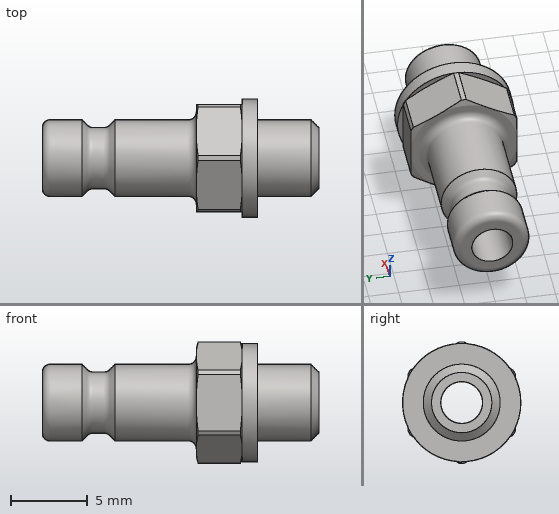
import cadquery as cq
import math

LENGTH = 18.0
BORE_DIAMETER = 2.7
SHANK_DIAMETER = 5.0
TIP_ROUND = 0.5
THREAD_CHAMFER = 0.54

GROOVE_DIAMETER = 4.0
GROOVE_START = 2.57
GROOVE_END = 4.73
GROOVE_CORNER_RADIUS = 0.5
FLANK_ANGLE = math.radians(45)

HEX_START = 10.0
HEX_LENGTH = 2.99
HEX_ACROSS_FLATS = 7.0
HEX_CORNER_DIAMETER = 7.9
HEX_CHAMFER_ANGLE = math.radians(15)
NECK_FILLET = 0.5

WASHER_DIAMETER = 7.7
WASHER_THICKNESS = 1.0

SHANK_RADIUS = SHANK_DIAMETER / 2
GROOVE_RADIUS = GROOVE_DIAMETER / 2
HEX_END = HEX_START + HEX_LENGTH


def revolve_about_x(profile):
    """Revolve a closed (x, radius) profile once around the X axis."""
    return profile.close().revolve(360, (0, 0, 0), (1, 0, 0))


def cylinder_along_x(start, length, diameter):
    return cq.Workplane("YZ", origin=(start, 0, 0)).circle(diameter / 2).extrude(length)


def make_shank():
    """Round body with rounded tip, locking groove, neck fillet and end chamfer."""
    corner_run = GROOVE_CORNER_RADIUS * math.sin(FLANK_ANGLE)
    corner_rise = GROOVE_CORNER_RADIUS * (1 - math.cos(FLANK_ANGLE))
    half_run = GROOVE_CORNER_RADIUS * math.sin(FLANK_ANGLE / 2)
    half_rise = GROOVE_CORNER_RADIUS * (1 - math.cos(FLANK_ANGLE / 2))
    flank_radius = GROOVE_RADIUS + corner_rise
    flank_run = (SHANK_RADIUS - flank_radius) / math.tan(FLANK_ANGLE)
    floor_start = GROOVE_START + flank_run + corner_run
    floor_end = GROOVE_END - flank_run - corner_run
    arc_inset = 1 - math.sqrt(0.5)

    profile = (
        cq.Workplane("XY")
        .lineTo(0, SHANK_RADIUS - TIP_ROUND)
        .threePointArc(
            (TIP_ROUND * arc_inset, SHANK_RADIUS - TIP_ROUND * arc_inset),
            (TIP_ROUND, SHANK_RADIUS),
        )
        .lineTo(GROOVE_START, SHANK_RADIUS)
        .lineTo(GROOVE_START + flank_run, flank_radius)
        .threePointArc(
            (floor_start - half_run, GROOVE_RADIUS + half_rise),
            (floor_start, GROOVE_RADIUS),
        )
        .lineTo(floor_end, GROOVE_RADIUS)
        .threePointArc(
            (floor_end + half_run, GROOVE_RADIUS + half_rise),
            (GROOVE_END - flank_run, flank_radius),
        )
        .lineTo(GROOVE_END, SHANK_RADIUS)
        .lineTo(HEX_START - NECK_FILLET, SHANK_RADIUS)
        .threePointArc(
            (HEX_START - NECK_FILLET * arc_inset, SHANK_RADIUS + NECK_FILLET * arc_inset),
            (HEX_START, SHANK_RADIUS + NECK_FILLET),
        )
        .lineTo(HEX_START, SHANK_RADIUS)
        .lineTo(LENGTH - THREAD_CHAMFER, SHANK_RADIUS)
        .lineTo(LENGTH, SHANK_RADIUS - THREAD_CHAMFER)
        .lineTo(LENGTH, 0)
    )
    return revolve_about_x(profile)


def make_hexagon():
    """Hexagon with corners at top and bottom, trimmed by a cylinder chamfered at both ends."""
    across_corners = HEX_ACROSS_FLATS / math.cos(math.radians(30))
    prism = (
        cq.Workplane("YZ", origin=(HEX_START, 0, 0))
        .transformed(rotate=(0, 0, 90))
        .polygon(6, across_corners)
        .extrude(HEX_LENGTH)
    )
    face_radius = HEX_ACROSS_FLATS / 2
    corner_radius = HEX_CORNER_DIAMETER / 2
    chamfer_run = (corner_radius - face_radius) * math.tan(HEX_CHAMFER_ANGLE)
    envelope = (
        cq.Workplane("XY")
        .moveTo(HEX_START, 0)
        .lineTo(HEX_START, face_radius)
        .lineTo(HEX_START + chamfer_run, corner_radius)
        .lineTo(HEX_END - chamfer_run, corner_radius)
        .lineTo(HEX_END, face_radius)
        .lineTo(HEX_END, 0)
    )
    return prism.intersect(revolve_about_x(envelope))


def make_fitting():
    bore = cylinder_along_x(0, LENGTH, BORE_DIAMETER)
    return make_shank().union(make_hexagon()).cut(bore)


def make_washer():
    """Flat ring that fits closely around the shank."""
    ring = cylinder_along_x(HEX_END, WASHER_THICKNESS, WASHER_DIAMETER)
    hole = cylinder_along_x(HEX_END, WASHER_THICKNESS, SHANK_DIAMETER)
    return ring.cut(hole)


fitting = make_fitting()
washer = make_washer()

result = cq.Compound.makeCompound([fitting.solids().val(), washer.solids().val()])